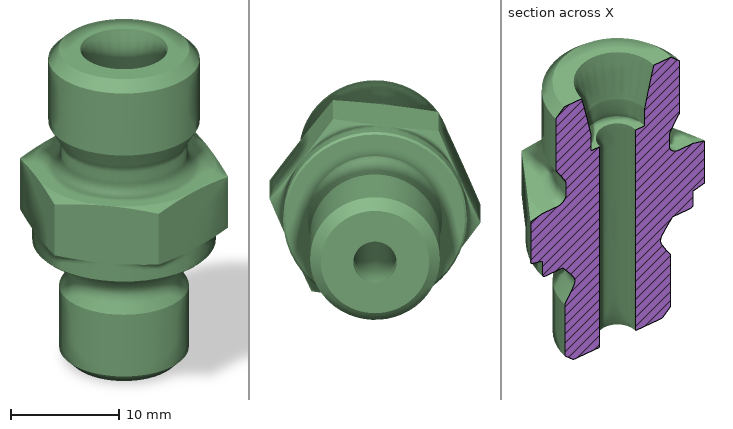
import cadquery as cq
import math

total_height = 32
collar_bottom = 12.0
hex_bottom = 14.0
hex_top = 20.0

hex_across_flats = 17.0
hex_across_corners = hex_across_flats / math.cos(math.radians(30))
hex_chamfer_angle = 15
collar_edge_chamfer = 0.2

stud_end_chamfer = 1.0
relief_angle = 30
upper_radius = 14.0 / 2
upper_neck_radius = 11.7 / 2
upper_cylinder_bottom = 24.55
upper_neck_fillet = 1.0
lower_radius = 12.0 / 2
lower_neck_radius = 4.85
lower_cylinder_top = 7.42
lower_neck_fillet = 1.25
collar_cone_radius = 6.2

bore_diameter = 4.0
socket_radius = 6.0 / 2
socket_depth = 7.0
mouth_radius = 8.1 / 2
mouth_angle = 12

relief_slope = math.tan(math.radians(relief_angle))


def make_hex():
    """Hexagon with its corners on Y, both ends chamfered by shallow cones."""
    prism = (
        cq.Workplane("XY", origin=(0, 0, hex_bottom))
        .polygon(6, hex_across_corners)
        .extrude(hex_top - hex_bottom)
        .rotate((0, 0, 0), (0, 0, 1), 30)
    )
    flat_radius = hex_across_flats / 2
    outer_radius = hex_across_corners / 2 + 0.32
    drop = (outer_radius - flat_radius) * math.tan(math.radians(hex_chamfer_angle))
    envelope = (
        cq.Workplane("XZ")
        .moveTo(0, hex_bottom)
        .lineTo(flat_radius, hex_bottom)
        .lineTo(outer_radius, hex_bottom + drop)
        .lineTo(outer_radius, hex_top - drop)
        .lineTo(flat_radius, hex_top)
        .lineTo(0, hex_top)
        .close()
        .revolve(360, (0, 0, 0), (0, 1, 0))
    )
    return prism.intersect(envelope)


def make_upper_stud():
    """Upper stud with a relief neck that flares into the hexagon."""
    fillet = upper_neck_fillet
    corner_z = upper_cylinder_bottom - (upper_radius - upper_neck_radius) / relief_slope
    tangent = fillet * math.tan(math.radians(relief_angle / 2))
    cone_end_r = upper_neck_radius + tangent * math.sin(math.radians(relief_angle))
    cone_end_z = corner_z + tangent * math.cos(math.radians(relief_angle))
    return (
        cq.Workplane("XZ")
        .moveTo(0, hex_bottom)
        .lineTo(upper_neck_radius + fillet, hex_bottom)
        .lineTo(upper_neck_radius + fillet, hex_top)
        .radiusArc((upper_neck_radius, hex_top + fillet), fillet)
        .lineTo(upper_neck_radius, corner_z - tangent)
        .radiusArc((cone_end_r, cone_end_z), fillet)
        .lineTo(upper_radius, upper_cylinder_bottom)
        .lineTo(upper_radius, total_height - stud_end_chamfer)
        .lineTo(upper_radius - stud_end_chamfer, total_height)
        .lineTo(0, total_height)
        .close()
        .revolve(360, (0, 0, 0), (0, 1, 0))
    )


def make_lower_stud():
    """Lower stud with a rounded waist between two cones, and the collar."""
    fillet = lower_neck_fillet
    waist_r = lower_neck_radius + fillet * (1 - math.cos(math.radians(relief_angle)))
    waist_bottom = lower_cylinder_top + (lower_radius - waist_r) / relief_slope
    waist_top = waist_bottom + 2 * fillet * math.sin(math.radians(relief_angle))
    collar_radius = hex_across_flats / 2
    return (
        cq.Workplane("XZ")
        .lineTo(lower_radius - stud_end_chamfer, 0)
        .lineTo(lower_radius, stud_end_chamfer)
        .lineTo(lower_radius, lower_cylinder_top)
        .lineTo(waist_r, waist_bottom)
        .radiusArc((waist_r, waist_top), fillet)
        .lineTo(collar_cone_radius, collar_bottom)
        .lineTo(collar_radius - collar_edge_chamfer, collar_bottom)
        .lineTo(collar_radius, collar_bottom + collar_edge_chamfer)
        .lineTo(collar_radius, hex_bottom)
        .lineTo(0, hex_bottom)
        .close()
        .revolve(360, (0, 0, 0), (0, 1, 0))
    )


def make_socket():
    """Cutter for the flat-bottomed tube socket and its conical mouth."""
    mouth_depth = (mouth_radius - socket_radius) / math.tan(math.radians(mouth_angle))
    return (
        cq.Workplane("XZ")
        .moveTo(0, total_height - socket_depth)
        .lineTo(socket_radius, total_height - socket_depth)
        .lineTo(socket_radius, total_height - mouth_depth)
        .lineTo(mouth_radius, total_height)
        .lineTo(0, total_height)
        .close()
        .revolve(360, (0, 0, 0), (0, 1, 0))
    )


bore = cq.Workplane("XY").circle(bore_diameter / 2).extrude(total_height)
body = make_lower_stud().union(make_hex()).union(make_upper_stud())
result = body.cut(make_socket()).cut(bore)